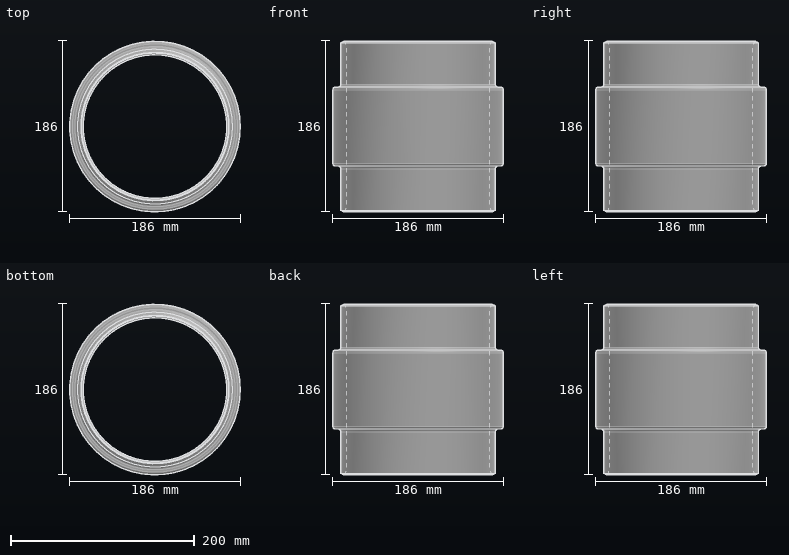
import cadquery as cq

length = 186.0
collar_diameter = 186.0
pipe_diameter = 168.7
bore_diameter = 156.0

collar_length = 86.1
collar_round = 3.0

rim_outer_diameter = 161.6
rim_inner_diameter = 160.0
outer_bevel_height = 1.9
lead_in_depth = 6.5

half_length = length / 2
half_collar = collar_length / 2
collar_radius = collar_diameter / 2
pipe_radius = pipe_diameter / 2
bore_radius = bore_diameter / 2
rim_outer_radius = rim_outer_diameter / 2
rim_inner_radius = rim_inner_diameter / 2

collar_wall_top = half_collar - collar_round
pipe_wall_bottom = half_collar + collar_round
shoulder_outer_radius = collar_radius - collar_round
shoulder_inner_radius = pipe_radius + collar_round
bevel_start = half_length - outer_bevel_height
lead_in_end = half_length - lead_in_depth

wall_section = (
    cq.Workplane("XZ")
    .moveTo(bore_radius, -lead_in_end)
    .lineTo(rim_inner_radius, -half_length)
    .lineTo(rim_outer_radius, -half_length)
    .lineTo(pipe_radius, -bevel_start)
    .lineTo(pipe_radius, -pipe_wall_bottom)
    .radiusArc((shoulder_inner_radius, -half_collar), collar_round)
    .lineTo(shoulder_outer_radius, -half_collar)
    .radiusArc((collar_radius, -collar_wall_top), -collar_round)
    .lineTo(collar_radius, collar_wall_top)
    .radiusArc((shoulder_outer_radius, half_collar), -collar_round)
    .lineTo(shoulder_inner_radius, half_collar)
    .radiusArc((pipe_radius, pipe_wall_bottom), collar_round)
    .lineTo(pipe_radius, bevel_start)
    .lineTo(rim_outer_radius, half_length)
    .lineTo(rim_inner_radius, half_length)
    .lineTo(bore_radius, lead_in_end)
    .close()
)

result = wall_section.revolve(360, (0, 0, 0), (0, 1, 0))